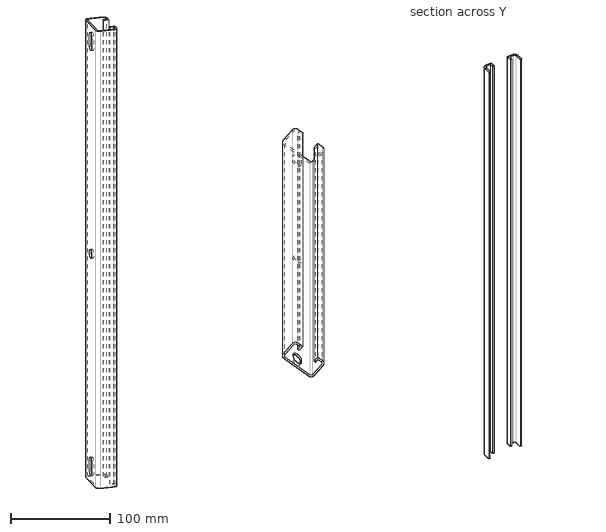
import cadquery as cq

length = 492.0
width = 40.0
depth = 22.5

sheet = 2.05
bend_radius = 4.0
mouth_width = 19.0
lip_depth = 6.0

slot_width = 10.0
slot_length = 19.0
slot_end_margin = 8.0
center_hole_diameter = 9.5


def rounded_bar(bar_width, bar_depth, radius):
    """Full-length rectangular bar with rounded long edges, centered on the origin."""
    return cq.Workplane("XY").box(bar_width, bar_depth, length).edges("|Z").fillet(radius)


def channel():
    """Rounded tube opened along its +Y side, with a lip turned inward at each side of the mouth."""
    tube = rounded_bar(width, depth, bend_radius).cut(
        rounded_bar(width - 2 * sheet, depth - 2 * sheet, bend_radius - sheet)
    )
    mouth = cq.Workplane("XY").box(mouth_width, depth, length).translate((0, depth / 2, 0))
    body = tube.cut(mouth)

    lip_x = (mouth_width + sheet) / 2
    lip_y = (depth - lip_depth) / 2
    for side in (-1, 1):
        lip = cq.Workplane("XY").box(sheet, lip_depth, length)
        body = body.union(lip.translate((side * lip_x, lip_y, 0)))
    return body


def web_cutter(sketch):
    """Extrude an XZ outline through the web on the -Y side only."""
    return sketch.extrude(depth / 2)


slot_z = length / 2 - slot_end_margin - slot_length / 2
end_slots = web_cutter(
    cq.Workplane("XZ").pushPoints([(0, -slot_z), (0, slot_z)]).slot2D(slot_length, slot_width, 90)
)
center_hole = web_cutter(cq.Workplane("XZ").circle(center_hole_diameter / 2))

result = channel().cut(end_slots).cut(center_hole)